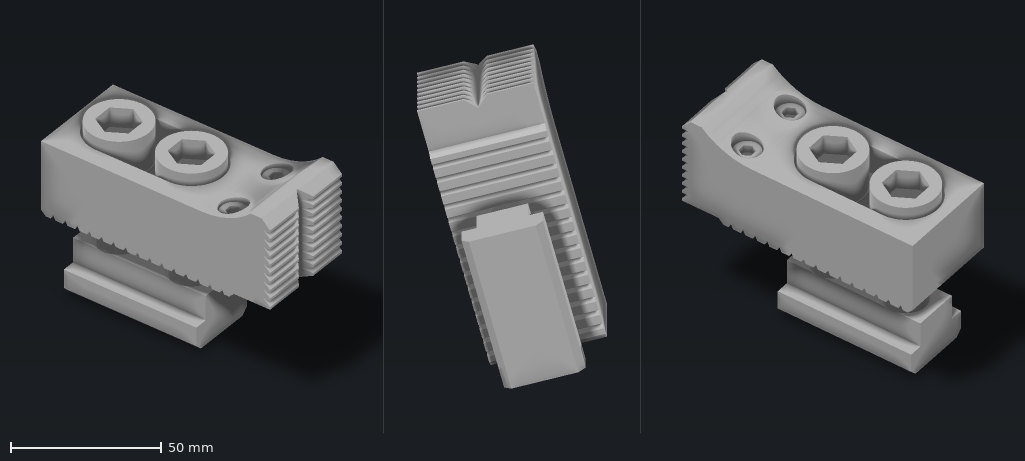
import cadquery as cq
import math


JAW_LENGTH = 95.0
JAW_WIDTH = 40.0
JAW_BASE_Z = 34.0
JAW_TOP_Z = 64.0
HORN_TOP_Z = 72.0
HORN_FLAT_START = 87.0
HORN_CHAMFER = 3.5
SWEEP_RADIUS = 30.0

SERRATION_DEPTH = 2.0
NOTCH_HALF_WIDTH = 0.95
SERRATED_LENGTH = 80.0
NOTCH_COUNT = 15
NOTCH_PITCH = SERRATED_LENGTH / (NOTCH_COUNT + 1)
SERRATION_ROOT_Z = JAW_BASE_Z + SERRATION_DEPTH

TOOTH_COUNT = 9
TOOTH_DEPTH = 2.7
TOOTH_FLAT = 1.0
TOP_TOOTH_UNDERSIDE_Z = HORN_TOP_Z - HORN_CHAMFER - TOOTH_FLAT
TOOTH_PITCH = (TOP_TOOTH_UNDERSIDE_Z - SERRATION_ROOT_Z) / TOOTH_COUNT

V_GROOVE_DEPTH = 4.0

BOLT_SPACING = 30.0
FIRST_BOLT_X = 17.5
BOLT_MIDDLE_X = FIRST_BOLT_X + BOLT_SPACING / 2
BOLT_DIAMETER = 16.0
BOLT_HEAD_DIAMETER = 24.2
BOLT_HEAD_TOP_Z = 68.5
BOLT_HEAD_HEIGHT = 16.0
BOLT_COLLAR_DIAMETER = 24.8
BOLT_COLLAR_THICKNESS = 1.0
BOLT_SOCKET_WIDTH = 13.9
BOLT_SOCKET_DEPTH = 8.0

HEAD_SLOT_WIDTH = 26.0
SHANK_SLOT_WIDTH = 17.0
HEAD_SEAT_Z = BOLT_HEAD_TOP_Z - BOLT_HEAD_HEIGHT

NUT_LENGTH = 55.0
NUT_HEIGHT = 20.0
NUT_FLANGE_HEIGHT = 10.0
NUT_FLANGE_WIDTH = 28.0
NUT_STEM_WIDTH = 17.7
NUT_CHAMFER = 2.5
NUT_COUNTERSINK_DIAMETER = 18.4
NUT_COUNTERSINK_ANGLE = 90

SCREW_X = 74.0
SCREW_SPACING = 24.0
SCREW_DIAMETER = 6.0
SCREW_LENGTH = 16.0
SCREW_HEAD_DIAMETER = 10.0
SCREW_HEAD_HEIGHT = 6.0
SCREW_HEAD_TOP_Z = 63.0
SCREW_SOCKET_WIDTH = 5.0
SCREW_SOCKET_DEPTH = 3.0
SCREW_BORE_DIAMETER = 11.0
SCREW_SEAT_Z = SCREW_HEAD_TOP_Z - SCREW_HEAD_HEIGHT

HEXAGON_HALF_ANGLE = 30

BOLT_PLACES = [(FIRST_BOLT_X, 0), (FIRST_BOLT_X + BOLT_SPACING, 0)]
SCREW_PLACES = [(SCREW_X, -SCREW_SPACING / 2), (SCREW_X, SCREW_SPACING / 2)]


def cylinder(place, diameter, bottom, top):
    """Upright cylinder at an (x, y) place between two heights."""
    return cq.Workplane("XY", origin=(*place, bottom)).circle(diameter / 2).extrude(top - bottom)


def hex_socket(place, across_flats, depth, top):
    """Hexagonal prism below a height, with two flats facing along X."""
    across_corners = across_flats / math.cos(math.radians(HEXAGON_HALF_ANGLE))
    prism = cq.Workplane("XY").polygon(6, across_corners).extrude(-depth)
    return prism.rotate((0, 0, 0), (0, 0, 1), HEXAGON_HALF_ANGLE).translate((*place, top))


def bolt_slot(width, bottom, top):
    """Round-ended slot that spans both bolts."""
    plane = cq.Workplane("XY", origin=(BOLT_MIDDLE_X, 0, bottom))
    return plane.slot2D(BOLT_SPACING + width, width).extrude(top - bottom)


def jaw_blank():
    """Side outline of the jaw, before any teeth are cut."""
    rise = HORN_TOP_Z - JAW_TOP_Z
    sweep_run = math.sqrt(SWEEP_RADIUS**2 - (SWEEP_RADIUS - rise) ** 2)
    sweep_start = HORN_FLAT_START - sweep_run
    half_angle = math.asin(sweep_run / SWEEP_RADIUS) / 2
    sweep_middle = (
        sweep_start + SWEEP_RADIUS * math.sin(half_angle),
        JAW_TOP_Z + SWEEP_RADIUS * (1 - math.cos(half_angle)),
    )
    return (
        cq.Workplane("XZ")
        .moveTo(0, SERRATION_ROOT_Z)
        .lineTo(SERRATION_DEPTH, JAW_BASE_Z)
        .lineTo(SERRATED_LENGTH - SERRATION_DEPTH, JAW_BASE_Z)
        .lineTo(SERRATED_LENGTH, SERRATION_ROOT_Z)
        .lineTo(JAW_LENGTH, SERRATION_ROOT_Z)
        .lineTo(JAW_LENGTH, HORN_TOP_Z - HORN_CHAMFER)
        .lineTo(JAW_LENGTH - HORN_CHAMFER, HORN_TOP_Z)
        .lineTo(HORN_FLAT_START, HORN_TOP_Z)
        .threePointArc(sweep_middle, (sweep_start, JAW_TOP_Z))
        .lineTo(0, JAW_TOP_Z)
        .close()
        .extrude(JAW_WIDTH / 2, both=True)
    )


def underside_notches():
    """V-notches that leave the serrations on the underside."""
    notches = cq.Workplane("XZ")
    for index in range(1, NOTCH_COUNT + 1):
        x = index * NOTCH_PITCH
        notches = notches.polyline([
            (x - NOTCH_HALF_WIDTH, JAW_BASE_Z),
            (x, SERRATION_ROOT_Z),
            (x + NOTCH_HALF_WIDTH, JAW_BASE_Z),
        ]).close()
    return notches.extrude(JAW_WIDTH / 2, both=True)


def end_notches():
    """Notches with a level upper side that leave hooked teeth on the end face."""
    notches = cq.Workplane("XZ")
    for index in range(1, TOOTH_COUNT + 1):
        upper = SERRATION_ROOT_Z + index * TOOTH_PITCH
        lower = upper - TOOTH_PITCH + TOOTH_FLAT
        notches = notches.polyline([
            (JAW_LENGTH, upper),
            (JAW_LENGTH - TOOTH_DEPTH, upper),
            (JAW_LENGTH, lower),
        ]).close()
    return notches.extrude(JAW_WIDTH / 2, both=True)


def v_groove():
    """Right-angled groove down the full height of the gripping face."""
    return (
        cq.Workplane("XY", origin=(0, 0, JAW_BASE_Z))
        .moveTo(JAW_LENGTH - V_GROOVE_DEPTH, 0)
        .lineTo(JAW_LENGTH, V_GROOVE_DEPTH)
        .lineTo(JAW_LENGTH, -V_GROOVE_DEPTH)
        .close()
        .extrude(HORN_TOP_Z - JAW_BASE_Z)
    )


def make_jaw():
    """Clamp jaw with its teeth, bolt slot and screw holes."""
    jaw = jaw_blank().cut(underside_notches()).cut(end_notches()).cut(v_groove())
    jaw = jaw.cut(bolt_slot(HEAD_SLOT_WIDTH, HEAD_SEAT_Z, JAW_TOP_Z))
    jaw = jaw.cut(bolt_slot(SHANK_SLOT_WIDTH, JAW_BASE_Z, JAW_TOP_Z))
    for place in SCREW_PLACES:
        jaw = jaw.cut(cylinder(place, SCREW_BORE_DIAMETER, SCREW_SEAT_Z, HORN_TOP_Z))
        jaw = jaw.cut(cylinder(place, SCREW_DIAMETER, SCREW_SEAT_Z - SCREW_LENGTH, SCREW_SEAT_Z))
    return jaw


def make_nut():
    """T-nut with a countersunk through hole for each bolt."""
    flange = (
        cq.Workplane("XY", origin=(BOLT_MIDDLE_X, 0, 0))
        .box(NUT_LENGTH, NUT_FLANGE_WIDTH, NUT_FLANGE_HEIGHT, centered=(True, True, False))
        .edges("|X and <Z")
        .chamfer(NUT_CHAMFER)
    )
    stem = (
        cq.Workplane("XY", origin=(BOLT_MIDDLE_X, 0, 0))
        .box(NUT_LENGTH, NUT_STEM_WIDTH, NUT_HEIGHT, centered=(True, True, False))
    )
    return (
        flange.union(stem)
        .faces(">Z").workplane(origin=(0, 0, NUT_HEIGHT))
        .pushPoints(BOLT_PLACES)
        .cskHole(BOLT_DIAMETER, NUT_COUNTERSINK_DIAMETER, NUT_COUNTERSINK_ANGLE)
    )


def make_bolt(place):
    """Collared socket-head bolt that ends level with the underside of the nut."""
    bolt = cylinder(place, BOLT_DIAMETER, 0, HEAD_SEAT_Z)
    bolt = bolt.union(cylinder(place, BOLT_HEAD_DIAMETER, HEAD_SEAT_Z, BOLT_HEAD_TOP_Z))
    collar_top = HEAD_SEAT_Z + BOLT_COLLAR_THICKNESS
    bolt = bolt.union(cylinder(place, BOLT_COLLAR_DIAMETER, HEAD_SEAT_Z, collar_top))
    return bolt.cut(hex_socket(place, BOLT_SOCKET_WIDTH, BOLT_SOCKET_DEPTH, BOLT_HEAD_TOP_Z))


def make_screw(place):
    """Small socket-head screw seated in the bottom of its bore."""
    screw = cylinder(place, SCREW_DIAMETER, SCREW_SEAT_Z - SCREW_LENGTH, SCREW_SEAT_Z)
    screw = screw.union(cylinder(place, SCREW_HEAD_DIAMETER, SCREW_SEAT_Z, SCREW_HEAD_TOP_Z))
    return screw.cut(hex_socket(place, SCREW_SOCKET_WIDTH, SCREW_SOCKET_DEPTH, SCREW_HEAD_TOP_Z))


jaw = make_jaw()
nut = make_nut()
bolts = [make_bolt(place).val() for place in BOLT_PLACES]
screws = [make_screw(place).val() for place in SCREW_PLACES]

result = cq.Compound.makeCompound([jaw.val(), nut.val(), *bolts, *screws])